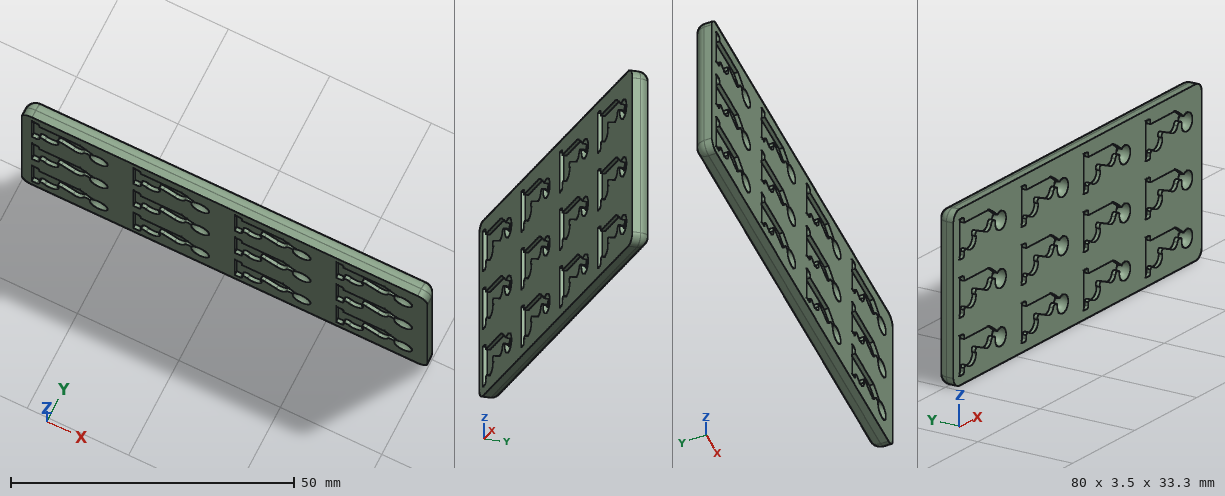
import cadquery as cq
import math

length = 80.0
thickness = 3.5
height = 33.3
edge_radius = 2.0

columns = 4
rows = 3
column_pitch = length / columns
row_pitch = 11.0
margin = 2.0

ball_x = 13.2
ball_radius = 1.8
recess_depth = 0.8
bevel_radius = 1.8
bevel_end_depth = 1.0
flange_top = 4.2
flange_bottom = -3.4
flange_width = 1.4
flange_corner = 0.5
shoulder_z = 3.2
shoulder_end = 9.5
nose_mid = (10.8, 2.4)
nose_tip = (12.2, 1.4)

corner_inset = flange_corner * (1 - math.sqrt(0.5))

ball_entry = (11.6, 0.0)
front_crest = (10.6, 0.7)
front_crest_end = (10.2, 0.2)
front_hollow = (9.2, -0.7)
front_hollow_end = (8.2, -0.6)
middle_crest_start = (5.8, 0.3)
middle_crest = (5.2, 0.2)
middle_crest_end = (5.3, -0.6)
belly = (4.4, -2.2)
belly_end = (2.6, -2.2)
rear_crest = (1.9, -1.9)
rear_crest_end = (flange_width, -2.2)


def make_plate():
    """Plate with rounded corners and a full round along its back edges."""
    plate = cq.Workplane("XY").box(length, thickness, height).translate((0, thickness / 2, 0))
    plate = plate.edges("|Y").fillet(edge_radius)
    return plate.faces(">Y").edges().fillet(edge_radius)


def make_pocket(depth):
    """Profiled pocket whose nose runs into the ball seat."""
    corner_start = flange_width - flange_corner
    corner_mid = flange_width - corner_inset
    return (
        cq.Workplane("XZ")
        .moveTo(0, flange_bottom)
        .lineTo(0, flange_top)
        .lineTo(corner_start, flange_top)
        .threePointArc((corner_mid, flange_top - corner_inset), (flange_width, flange_top - flange_corner))
        .lineTo(flange_width, shoulder_z)
        .lineTo(shoulder_end, shoulder_z)
        .threePointArc(nose_mid, nose_tip)
        .lineTo(ball_x, 0)
        .lineTo(*ball_entry)
        .threePointArc(front_crest, front_crest_end)
        .threePointArc(front_hollow, front_hollow_end)
        .lineTo(*middle_crest_start)
        .threePointArc(middle_crest, middle_crest_end)
        .threePointArc(belly, belly_end)
        .threePointArc(rear_crest, rear_crest_end)
        .lineTo(flange_width, flange_bottom + flange_corner)
        .threePointArc((corner_mid, flange_bottom + corner_inset), (corner_start, flange_bottom))
        .close()
        .extrude(-depth)
    )


def make_recess():
    """Shallow pocket ending in a hemispherical ball seat, with the edge between them bevelled."""
    bevel_end_radius = math.sqrt(ball_radius**2 - bevel_end_depth**2)
    bevel = cq.Workplane(
        cq.Solid.makeCone(
            bevel_radius,
            bevel_end_radius,
            bevel_end_depth - recess_depth,
            cq.Vector(ball_x, recess_depth, 0),
            cq.Vector(0, 1, 0),
        )
    ).intersect(make_pocket(bevel_end_depth))
    ball = cq.Workplane("XZ").sphere(ball_radius).translate((ball_x, 0, 0))
    return make_pocket(recess_depth).union(bevel).union(ball)


def cut_recesses(plate):
    """Cut one recess per grid cell into the front face."""
    recess = make_recess()
    first_x = -length / 2 + margin
    first_z = height / 2 - margin - flange_top
    for column in range(columns):
        for row in range(rows):
            x = first_x + column * column_pitch
            z = first_z - row * row_pitch
            plate = plate.cut(recess.translate((x, 0, z)))
    return plate


result = cut_recesses(make_plate())